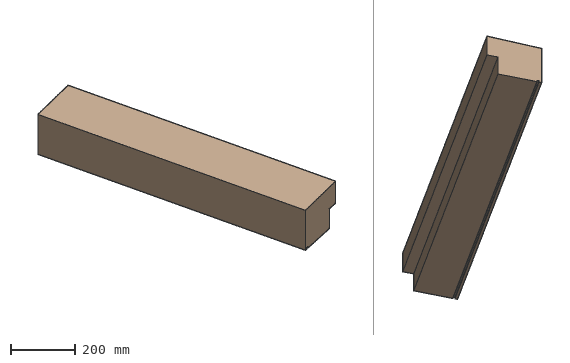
import cadquery as cq

length = 986.0
depth = 177.0
height = 159.0

top_fall = 7.0

rebate_depth = 35.0
rebate_height = 75.0

groove_offset = 9.0
groove_width = 6.0
groove_depth = 6.0

front = -depth / 2
back = depth / 2
groove_front = front + groove_offset
groove_back = groove_front + groove_width

section = [
    (front, 0),
    (groove_front, 0),
    (groove_front, groove_depth),
    (groove_back, groove_depth),
    (groove_back, 0),
    (back - rebate_depth, 0),
    (back - rebate_depth, rebate_height),
    (back, rebate_height),
    (back, height),
    (front, height - top_fall),
]

result = cq.Workplane("YZ").polyline(section).close().extrude(length / 2, both=True)